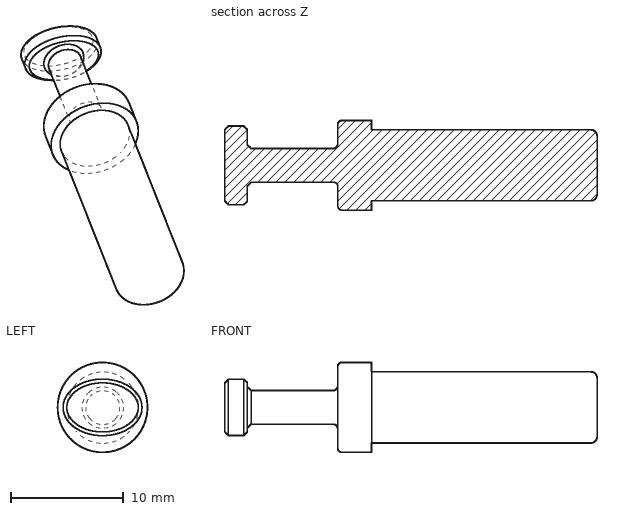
import cadquery as cq

overall_length = 33.0
head_thickness = 2.0
collar_start = 10.0
collar_thickness = 3.0
collar_end = collar_start + collar_thickness

head_width = 7.0
head_height = 5.0
stem_diameter = 3.0
collar_diameter = 8.0
barrel_diameter = 6.35

head_chamfer = 0.33
head_stem_chamfer = 0.33
collar_stem_fillet = 0.4
collar_rounding = 0.4
barrel_rounding = 0.6


def section_plane(x):
    """Plane square to the axis, with local X along +Y and its normal along +X."""
    return cq.Workplane("YZ", origin=(x, 0, 0))


def cylinder(start, end, diameter):
    return section_plane(start).circle(diameter / 2).extrude(end - start)


head = (
    section_plane(0)
    .ellipse(head_width / 2, head_height / 2)
    .extrude(head_thickness)
    .edges()
    .chamfer(head_chamfer)
)

collar = cylinder(collar_start, collar_end, collar_diameter).faces("<X").edges().fillet(collar_rounding)

barrel = cylinder(collar_end, overall_length, barrel_diameter).faces(">X").edges().fillet(barrel_rounding)

stem_radius = stem_diameter / 2
stem = (
    cq.Workplane("XY")
    .moveTo(head_thickness, 0)
    .lineTo(head_thickness, stem_radius + head_stem_chamfer)
    .lineTo(head_thickness + head_stem_chamfer, stem_radius)
    .lineTo(collar_start - collar_stem_fillet, stem_radius)
    .radiusArc((collar_start, stem_radius + collar_stem_fillet), -collar_stem_fillet)
    .lineTo(collar_start, 0)
    .close()
    .revolve(360, (0, 0, 0), (1, 0, 0))
)

result = head.union(stem).union(collar).union(barrel)